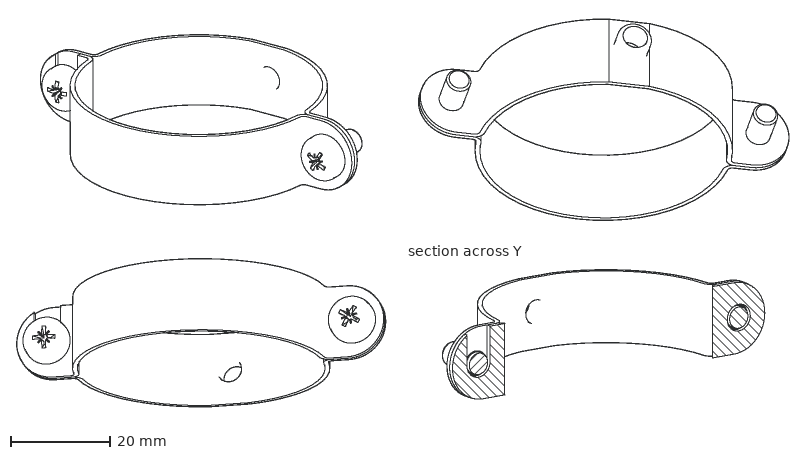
import cadquery as cq
import math

overall_length = 76.0
band_height = 15.05
sheet = 1.0
inner_radius = 25.0
outer_radius = inner_radius + sheet
bend_inside_radius = 1.0
bend_outside_radius = bend_inside_radius + sheet

screw_x = 31.6
slot_width = 5.5

pad_width = 8.35
boss_diameter = 7.0
boss_hole_diameter = 5.0
boss_top = 31.7
boss_root_fillet = 1.15
boss_rim_fillet = 1.0

thread_diameter = 5.0
thread_tip_diameter = 4.1
neck_diameter = 4.55
shank_length = 9.9
head_diameter = 9.4
head_height = 3.65
head_dome_radius = 9.1
head_edge_fillet = 1.5

recess_depth = 2.1
recess_wing_span = 5.0
recess_wing_floor_span = 2.1
recess_wing_width = 0.75
recess_core_side = 1.7
recess_core_floor_side = 0.75
recess_nib_span = 3.2
recess_nib_width = 0.2
recess_nib_depth = 0.75
left_recess_angle = 0.0
right_recess_angle = -30.0

ear_end_x = overall_length / 2
bend_center_y = bend_outside_radius
bend_center_x = math.sqrt((outer_radius + bend_inside_radius) ** 2 - bend_center_y**2)
bend_angle = math.atan2(bend_center_y, bend_center_x)
pad_half_width = pad_width / 2
pad_inner_y = math.sqrt(inner_radius**2 - pad_half_width**2)
pad_outer_y = pad_inner_y + sheet


def ring_point(radius, angle):
    return (radius * math.cos(angle), radius * math.sin(angle))


def bend_midpoint(radius, side):
    """Middle of the bend arc that runs from the flat ear to the tangent point on the ring."""
    tangent_angle = math.pi + bend_angle
    ear_angle = 1.5 * math.pi
    angle = (tangent_angle + ear_angle) / 2
    return (side * (bend_center_x + radius * math.cos(angle)), bend_center_y + radius * math.sin(angle))


def mirrored(point):
    return (-point[0], point[1])


def half_band():
    """Half ring with a bend and an outward ear at each end, on the +Y side."""
    outer_end = ring_point(outer_radius, bend_angle)
    inner_end = ring_point(inner_radius, bend_angle)
    strip = (
        cq.Workplane("XY")
        .workplane(offset=-band_height / 2)
        .moveTo(ear_end_x, 0)
        .lineTo(ear_end_x, sheet)
        .lineTo(bend_center_x, sheet)
        .threePointArc(bend_midpoint(bend_inside_radius, 1), outer_end)
        .threePointArc((0, outer_radius), mirrored(outer_end))
        .threePointArc(bend_midpoint(bend_inside_radius, -1), (-bend_center_x, sheet))
        .lineTo(-ear_end_x, sheet)
        .lineTo(-ear_end_x, 0)
        .lineTo(-bend_center_x, 0)
        .threePointArc(bend_midpoint(bend_outside_radius, -1), mirrored(inner_end))
        .threePointArc((0, inner_radius), inner_end)
        .threePointArc(bend_midpoint(bend_outside_radius, 1), (bend_center_x, 0))
        .close()
        .extrude(band_height)
    )
    rounded_outline = (
        cq.Workplane("XZ")
        .slot2D(overall_length, band_height)
        .extrude(outer_radius, both=True)
    )
    return strip.intersect(rounded_outline)


def ear_hole(x, diameter):
    return (
        cq.Workplane("XZ")
        .center(x, 0)
        .circle(diameter / 2)
        .extrude(bend_outside_radius, both=True)
    )


def add_boss(band):
    """Flat pad at the back of the ring with a hollow boss drawn out of it."""
    pad_cutter = cq.Workplane("XY").box(pad_width, 4 * sheet, band_height).translate((0, outer_radius, 0))
    pad = (
        cq.Workplane("XY")
        .box(pad_width, sheet, band_height)
        .translate((0, pad_inner_y + sheet / 2, 0))
    )
    boss_radius = boss_diameter / 2
    hole_radius = boss_hole_diameter / 2
    mouth_radius = hole_radius + sheet
    diagonal = math.sqrt(0.5)
    root_radius = boss_radius + boss_root_fillet
    root_center_y = pad_outer_y + boss_root_fillet
    root_mid = (root_radius - boss_root_fillet * diagonal, root_center_y - boss_root_fillet * diagonal)
    rim_radius = boss_radius - boss_rim_fillet
    rim_mid = (rim_radius + boss_rim_fillet * diagonal, boss_top - boss_rim_fillet * (1 - diagonal))
    boss = (
        cq.Workplane("XY")
        .moveTo(0, pad_inner_y)
        .lineTo(root_radius, pad_inner_y)
        .lineTo(root_radius, pad_outer_y)
        .threePointArc(root_mid, (boss_radius, root_center_y))
        .lineTo(boss_radius, boss_top - boss_rim_fillet)
        .threePointArc(rim_mid, (rim_radius, boss_top))
        .lineTo(0, boss_top)
        .close()
        .revolve(360, (0, 0), (0, 1))
    )
    boss = boss.intersect(cq.Workplane("XY").box(pad_width, 2 * boss_top, band_height))
    mouth_mid = (mouth_radius - sheet * diagonal, pad_outer_y - sheet * diagonal)
    hole = (
        cq.Workplane("XY")
        .moveTo(0, pad_inner_y)
        .lineTo(mouth_radius, pad_inner_y)
        .threePointArc(mouth_mid, (hole_radius, pad_outer_y))
        .lineTo(hole_radius, boss_top)
        .lineTo(0, boss_top)
        .close()
        .revolve(360, (0, 0), (0, 1))
    )
    return band.cut(pad_cutter).union(pad).union(boss).cut(hole)


def rear_half():
    band = add_boss(half_band())
    for side in (-1, 1):
        band = band.cut(ear_hole(side * screw_x, thread_diameter))
    return band


def front_half():
    """Plain half whose left hole opens upward, so it can swing off a loosened screw."""
    band = half_band().mirror("XZ")
    for side in (-1, 1):
        band = band.cut(ear_hole(side * screw_x, slot_width))
    slot = (
        cq.Workplane("XY")
        .box(slot_width, bend_outside_radius * 2, band_height, centered=(True, True, False))
        .translate((-screw_x, 0, 0))
    )
    return band.cut(slot)


def turned(body, angle):
    return body.rotate((0, 0, 0), (0, 0, 1), angle)


def pozidriv_recess(head_top):
    """Cross recess cut down from head_top: tapered wings, a tapered square core and diagonal nibs."""
    top_plane = cq.Workplane("XY").workplane(offset=head_top)
    core = (
        top_plane.rect(recess_core_side, recess_core_side)
        .workplane(offset=-recess_depth)
        .rect(recess_core_floor_side, recess_core_floor_side)
        .loft()
    )
    recess = turned(core, 45)
    wing_pair = (
        cq.Workplane("XZ")
        .moveTo(-recess_wing_span / 2, head_top)
        .lineTo(recess_wing_span / 2, head_top)
        .lineTo(recess_wing_floor_span / 2, head_top - recess_depth)
        .lineTo(-recess_wing_floor_span / 2, head_top - recess_depth)
        .close()
        .extrude(recess_wing_width / 2, both=True)
    )
    nib_pair = top_plane.rect(recess_nib_span, recess_nib_width).extrude(-recess_nib_depth)
    for angle in (0, 90):
        recess = recess.union(turned(wing_pair, angle)).union(turned(nib_pair, angle + 45))
    return recess


def screw(x, recess_angle):
    """Pan-head screw, modelled pointing down from Z = 0 and then turned to point toward +Y."""
    head = cq.Workplane("XY").circle(head_diameter / 2).extrude(head_height)
    dome = cq.Workplane("XY").sphere(head_dome_radius).translate((0, 0, head_height - head_dome_radius))
    head = head.intersect(dome).faces(">Z").edges().fillet(head_edge_fillet)
    neck = cq.Workplane("XY").circle(neck_diameter / 2).extrude(-sheet)
    thread = (
        cq.Workplane("XY")
        .workplane(offset=-sheet)
        .circle(thread_diameter / 2)
        .extrude(sheet - shank_length)
        .faces("<Z")
        .chamfer((thread_diameter - thread_tip_diameter) / 2)
    )
    recess = turned(pozidriv_recess(head_height), recess_angle)
    body = head.union(neck).union(thread).cut(recess)
    return body.rotate((0, 0, 0), (1, 0, 0), 90).translate((x, -sheet, 0))


screws = [screw(-screw_x, left_recess_angle), screw(screw_x, right_recess_angle)]

result = cq.Compound.makeCompound(
    [rear_half().val(), front_half().val(), *[fastener.val() for fastener in screws]]
)